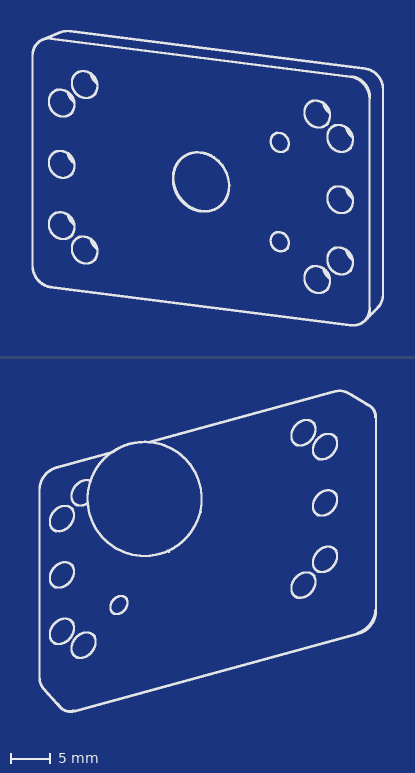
import cadquery as cq
import math

PLATE_LENGTH = 46.0
PLATE_HEIGHT = 32.5
PLATE_THICKNESS = 5.85
LIP_THICKNESS = 0.25
DRAFT_ANGLE = 4.0
CORNER_RADIUS = 2.55
BACK_EDGE_RADIUS = 1.0

OVERALL_DEPTH = 25.2
BALL_DIAMETER = 14.3
NECK_DIAMETER = 6.35
NECK_FILLET = 2.25

RECESS_DIAMETER = 7.7
RECESS_ROUND_RADIUS = 0.75
CONE_ANGLE = 90.0

MOUNT_HOLE_DIAMETER = 3.5
OUTER_HOLE_X = 19.0
OUTER_HOLE_Z = 8.0
INNER_HOLE_X = 15.88
INNER_HOLE_Z = 10.8
SMALL_HOLE_DIAMETER = 2.5
SMALL_HOLE_X = 10.75
SMALL_HOLE_Z = 6.5


def plane_facing_back(y):
    """XZ work plane at the given y whose normal points along +Y; local y is -Z."""
    return cq.Workplane(cq.Plane(origin=(0, y, 0), xDir=(1, 0, 0), normal=(0, 1, 0)))


def make_plate():
    """Drafted plate with rounded corners and back rim on a thin straight-sided lip."""
    lip = plane_facing_back(0).rect(PLATE_LENGTH, PLATE_HEIGHT).extrude(LIP_THICKNESS)
    lip = lip.edges("|Y").fillet(CORNER_RADIUS)
    body = (
        plane_facing_back(LIP_THICKNESS)
        .rect(PLATE_LENGTH, PLATE_HEIGHT)
        .extrude(PLATE_THICKNESS - LIP_THICKNESS, taper=DRAFT_ANGLE)
    )
    body = body.edges("not(#Y)").fillet(CORNER_RADIUS)
    body = body.faces(">Y").edges().fillet(BACK_EDGE_RADIUS)
    return lip.union(body)


def make_ball_and_neck():
    """Ball on a round neck that flares into the plate, as one revolved profile."""
    ball_radius = BALL_DIAMETER / 2
    neck_radius = NECK_DIAMETER / 2
    ball_y = OVERALL_DEPTH - ball_radius
    neck_top_y = ball_y - math.sqrt(ball_radius**2 - neck_radius**2)
    flare_radius = neck_radius + NECK_FILLET
    flare_top_y = PLATE_THICKNESS + NECK_FILLET
    flare_mid_offset = NECK_FILLET * math.sqrt(0.5)
    flare_mid = (flare_radius - flare_mid_offset, flare_top_y - flare_mid_offset)
    return (
        cq.Workplane("XY")
        .moveTo(0, PLATE_THICKNESS)
        .lineTo(flare_radius, PLATE_THICKNESS)
        .threePointArc(flare_mid, (neck_radius, flare_top_y))
        .lineTo(neck_radius, neck_top_y)
        .threePointArc((ball_radius, ball_y), (0, OVERALL_DEPTH))
        .close()
        .revolve(360, (0, 0, 0), (0, 1, 0))
    )


def make_recess():
    """Cutter for the recess: short straight wall, rounded shoulder, then a cone."""
    recess_radius = RECESS_DIAMETER / 2
    half_angle = math.radians(CONE_ANGLE / 2)
    turn = math.pi / 2 - half_angle

    def shoulder_point(angle):
        inset = RECESS_ROUND_RADIUS * math.sin(angle)
        drop = RECESS_ROUND_RADIUS * (1 - math.cos(angle))
        return (recess_radius - inset, LIP_THICKNESS + drop)

    cone_radius, cone_rim_y = shoulder_point(turn)
    tip_y = cone_rim_y + cone_radius / math.tan(half_angle)
    return (
        cq.Workplane("XY")
        .lineTo(recess_radius, 0)
        .lineTo(recess_radius, LIP_THICKNESS)
        .threePointArc(shoulder_point(turn / 2), (cone_radius, cone_rim_y))
        .lineTo(0, tip_y)
        .close()
        .revolve(360, (0, 0, 0), (0, 1, 0))
    )


def make_holes(centres, diameter):
    """Cutters for holes running through the full plate thickness."""
    return plane_facing_back(0).pushPoints(centres).circle(diameter / 2).extrude(PLATE_THICKNESS)


mount_centres = []
for side in (-1, 1):
    mount_centres.append((side * OUTER_HOLE_X, 0))
    for end in (-1, 1):
        mount_centres.append((side * OUTER_HOLE_X, end * OUTER_HOLE_Z))
        mount_centres.append((side * INNER_HOLE_X, end * INNER_HOLE_Z))
small_centres = [(SMALL_HOLE_X, -SMALL_HOLE_Z), (SMALL_HOLE_X, SMALL_HOLE_Z)]

result = (
    make_plate()
    .union(make_ball_and_neck())
    .cut(make_recess())
    .cut(make_holes(mount_centres, MOUNT_HOLE_DIAMETER))
    .cut(make_holes(small_centres, SMALL_HOLE_DIAMETER))
)